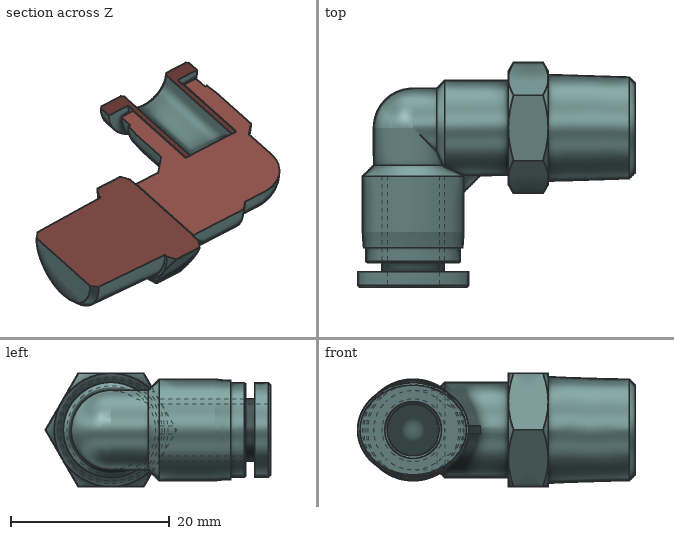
import cadquery as cq
import math


elbow_dia = 10.0
stem_dia = 12.0
stem_chamfer = (stem_dia - elbow_dia) / 2
stem_shoulder_start = 3.0

socket_dia = 12.8
socket_taper_end_dia = 12.5
collar_dia = 11.9
collar_chamfer = 0.2
socket_shoulder_start = 4.7
socket_shoulder_end = socket_shoulder_start + (socket_dia - elbow_dia) / 2
taper_start = 13.1
taper_end = 15.1
collar_end = 17.0

gusset_thickness = 1.0
gusset_reach = 14.45

hex_corner_dia = 16.5
hex_flat_width = hex_corner_dia * math.cos(math.radians(30))
hex_start = 12.0
hex_width = 5.0
hex_chamfer_angle = 30.0
stud_end = 28.0
thread_tip_dia = 12.8
thread_chamfer = 0.8
thread_taper = 1 / 16

ring_width = 14.0
ring_height = 11.9
ring_start = 18.1
ring_end = 20.1
ring_chamfer = 0.3
sleeve_dia = 7.9
tube_bore_dia = 6.55
tube_bore_chamfer = 0.3


def revolve_about_x(points):
    """Revolve a closed (x, radius) outline about the X axis."""
    return cq.Workplane("XY").polyline(points).close().revolve(360, (0, 0), (1, 0))


def revolve_about_socket(points):
    """Revolve a closed (radius, distance along -Y) outline about the socket axis."""
    outline = [(radius, -distance) for radius, distance in points]
    return cq.Workplane("XY").polyline(outline).close().revolve(360, (0, 0), (0, 1))


def socket_cylinder(diameter, start, end):
    """Cylinder on the socket axis between two distances from the origin."""
    plane = cq.Workplane("XZ", origin=(0, -start, 0))
    return plane.circle(diameter / 2).extrude(end - start)


def make_elbow():
    corner = cq.Workplane("XY").sphere(elbow_dia / 2)
    stem = revolve_about_x([
        (0, 0),
        (0, elbow_dia / 2),
        (stem_shoulder_start, elbow_dia / 2),
        (stem_shoulder_start + stem_chamfer, stem_dia / 2),
        (hex_start, stem_dia / 2),
        (hex_start, 0),
    ])
    socket = revolve_about_socket([
        (0, 0),
        (elbow_dia / 2, 0),
        (elbow_dia / 2, socket_shoulder_start),
        (socket_dia / 2, socket_shoulder_end),
        (socket_dia / 2, taper_start),
        (socket_taper_end_dia / 2, taper_end),
        (collar_dia / 2, taper_end),
        (collar_dia / 2, collar_end - collar_chamfer),
        (collar_dia / 2 - collar_chamfer, collar_end),
        (0, collar_end),
    ])
    gusset = (
        cq.Workplane("XY")
        .moveTo(elbow_dia / 2, -elbow_dia / 2)
        .lineTo(gusset_reach - elbow_dia / 2, -elbow_dia / 2)
        .lineTo(elbow_dia / 2, elbow_dia / 2 - gusset_reach)
        .close()
        .extrude(gusset_thickness / 2, both=True)
    )
    sleeve_hole = socket_cylinder(sleeve_dia, socket_shoulder_end, collar_end)
    return stem.union(socket).union(corner).union(gusset).cut(sleeve_hole)


def make_hexagon():
    hex_end = hex_start + hex_width
    corner_radius = hex_corner_dia / 2
    flat_radius = hex_flat_width / 2
    chamfer_length = (corner_radius - flat_radius) * math.tan(math.radians(hex_chamfer_angle))
    prism = (
        cq.Workplane("YZ", origin=(hex_start, 0, 0))
        .polygon(6, hex_corner_dia)
        .extrude(hex_width)
    )
    envelope = revolve_about_x([
        (hex_start, 0),
        (hex_start, flat_radius),
        (hex_start + chamfer_length, corner_radius),
        (hex_end - chamfer_length, corner_radius),
        (hex_end, flat_radius),
        (hex_end, 0),
    ])
    return prism.intersect(envelope)


def make_stud():
    thread_start = hex_start + hex_width
    thread_tip = stud_end - thread_chamfer
    thread_base_dia = thread_tip_dia + (thread_tip - thread_start) * thread_taper
    thread = revolve_about_x([
        (thread_start, 0),
        (thread_start, thread_base_dia / 2),
        (thread_tip, thread_tip_dia / 2),
        (stud_end, thread_tip_dia / 2 - thread_chamfer),
        (stud_end, 0),
    ])
    return make_hexagon().union(thread)


def make_release_ring():
    flange = (
        cq.Workplane("XZ", origin=(0, -ring_start, 0))
        .ellipse(ring_width / 2, ring_height / 2)
        .extrude(ring_end - ring_start)
        .faces("<Y")
        .chamfer(ring_chamfer)
    )
    sleeve = socket_cylinder(sleeve_dia, socket_shoulder_end, ring_start)
    bore = socket_cylinder(tube_bore_dia, socket_shoulder_end, ring_end)
    bore_mouth = revolve_about_socket([
        (0, ring_end - tube_bore_chamfer),
        (tube_bore_dia / 2, ring_end - tube_bore_chamfer),
        (tube_bore_dia / 2 + tube_bore_chamfer, ring_end),
        (0, ring_end),
    ])
    return flange.union(sleeve).cut(bore).cut(bore_mouth)


elbow = make_elbow()
stud = make_stud()
release_ring = make_release_ring()

result = cq.Compound.makeCompound([elbow.val(), stud.val(), release_ring.val()])